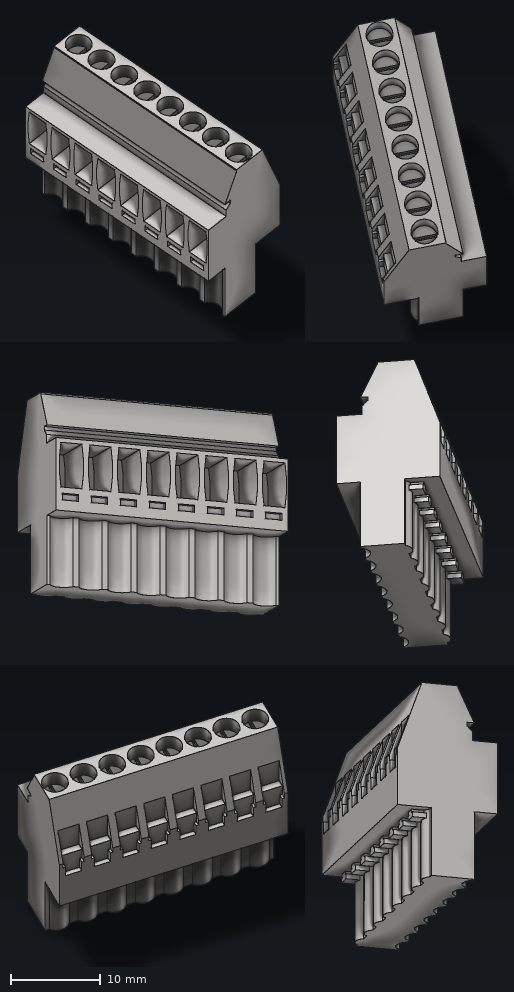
import cadquery as cq

poles = 8
width = 28.0
depth = 11.82
height = 22.6
pitch = width / poles
pole_shift = 0.1

body_bottom = 7.95
shelf_depth = 2.95
shelf_top = 16.32
groove_depth = 3.6
groove_ramp_bottom = 17.33
groove_ramp_top = 17.98
groove_top = 18.4
overhang_front = 2.75
top_front = 4.68
top_rear = 8.93
top_lip = 0.2
rear_slope_bottom = 14.67
leg_front = 2.75
leg_rear = 7.8

flute_width = 2.77
flute_sagitta = 0.85
rib_width = 2.4
rib_sagitta = 0.6

tab_rear = 9.77
tab_neck_width = 1.12
tab_neck_height = 0.4
tab_head_width = 1.75
tab_head_height = 0.6

opening_edge_width = 2.52
opening_middle_width = 2.95
opening_bottom = 10.67
opening_height = 5.15
opening_depth = 5.6
slot_width = 1.95
slot_bottom = 9.18
slot_height = 0.78
slot_depth = 0.5

recess_width = 2.58
recess_front = 10.35
recess_floor = 15.4
ledge_front = 11.23
ledge_floor = 14.0
notch_width = 1.95
notch_floor = 12.6

screw_diameter = 3.0
screw_y = 6.78
screw_recess = 1.9
screw_length = 2.25
screw_top = height - screw_recess
screw_bottom = screw_top - screw_length
screw_slot_width = 0.4
screw_slot_depth = 0.55

pole_centres = [(i - (poles - 1) / 2) * pitch for i in range(poles)]


def block(x, y_front, y_rear, z_bottom, z_top, x_width):
    """A box centred on x and lying between the given Y and Z limits."""
    return (
        cq.Workplane("XY")
        .box(x_width, y_rear - y_front, z_top - z_bottom, centered=(True, False, False))
        .translate((x, y_front, z_bottom))
    )


def arc_prism(x, y_chord, chord, sagitta, z_top):
    """A vertical circular segment from Z = 0, bulging toward +Y from its chord."""
    half = chord / 2
    return (
        cq.Workplane("XY")
        .moveTo(x - half, y_chord)
        .threePointArc((x, y_chord + sagitta), (x + half, y_chord))
        .close()
        .extrude(z_top)
    )


def housing_blank():
    """The side outline, carried along the whole row of poles."""
    outline = [
        (leg_front, 0),
        (leg_front, body_bottom),
        (0, body_bottom),
        (0, shelf_top),
        (shelf_depth, shelf_top),
        (shelf_depth, groove_ramp_bottom),
        (groove_depth, groove_ramp_top),
        (groove_depth, groove_top),
        (overhang_front, groove_top),
        (top_front, height - top_lip),
        (top_front, height),
        (top_rear, height),
        (depth, rear_slope_bottom),
        (depth, body_bottom),
        (leg_rear, body_bottom),
        (leg_rear, 0),
    ]
    return cq.Workplane("YZ").polyline(outline).close().extrude(width / 2, both=True)


def coding_tab(x):
    """A T-shaped tab hanging under the body behind one leg."""
    head_top = body_bottom - tab_neck_height
    head_bottom = head_top - tab_head_height
    neck = block(x, leg_rear, tab_rear, head_top, body_bottom, tab_neck_width)
    head = block(x, leg_rear, tab_rear, head_bottom, head_top, tab_head_width)
    return neck.union(head)


def wire_opening(x):
    """A blind pocket in the front face with side walls that bow outward."""
    edge = opening_edge_width / 2
    middle = opening_middle_width / 2
    top = opening_bottom + opening_height
    mid_height = opening_bottom + opening_height / 2
    return (
        cq.Workplane("XZ")
        .moveTo(x - edge, opening_bottom)
        .lineTo(x + edge, opening_bottom)
        .threePointArc((x + middle, mid_height), (x + edge, top))
        .lineTo(x - edge, top)
        .threePointArc((x - middle, mid_height), (x - edge, opening_bottom))
        .close()
        .extrude(-opening_depth)
    )


def rear_recess(x):
    """Three steps cut down into the rear slope and open to the rear face."""
    upper = block(x, recess_front, depth, recess_floor, height, recess_width)
    ledge = block(x, ledge_front, depth, ledge_floor, height, recess_width)
    notch = block(x, ledge_front, depth, notch_floor, height, notch_width)
    return upper.union(ledge).union(notch)


def screw_cylinder(x, length):
    """A cylinder of screw diameter rising from the bottom of one screw hole."""
    return (
        cq.Workplane("XY", origin=(x + pole_shift, screw_y, screw_bottom))
        .circle(screw_diameter / 2)
        .extrude(length)
    )


def make_housing():
    """The one-piece housing: ribs and tabs added first, then every recess cut."""
    body = housing_blank()
    for x in pole_centres:
        body = body.union(arc_prism(x, leg_rear, rib_width, rib_sagitta, body_bottom))
        body = body.union(coding_tab(x))
    for x in pole_centres:
        body = body.cut(arc_prism(x, leg_front, flute_width, flute_sagitta, body_bottom))
        body = body.cut(wire_opening(x + pole_shift))
        body = body.cut(block(x, 0, slot_depth, slot_bottom, slot_bottom + slot_height, slot_width))
        body = body.cut(rear_recess(x))
        body = body.cut(screw_cylinder(x, height - screw_bottom))
    return body


def make_screw(x):
    """A slotted screw that fills the lower part of its hole."""
    slot = block(
        x + pole_shift,
        screw_y - screw_diameter / 2,
        screw_y + screw_diameter / 2,
        screw_top - screw_slot_depth,
        screw_top,
        screw_slot_width,
    )
    return screw_cylinder(x, screw_length).cut(slot)


housing = make_housing()
screws = [make_screw(x) for x in pole_centres]
result = cq.Compound.makeCompound([housing.val(), *[screw.val() for screw in screws]])